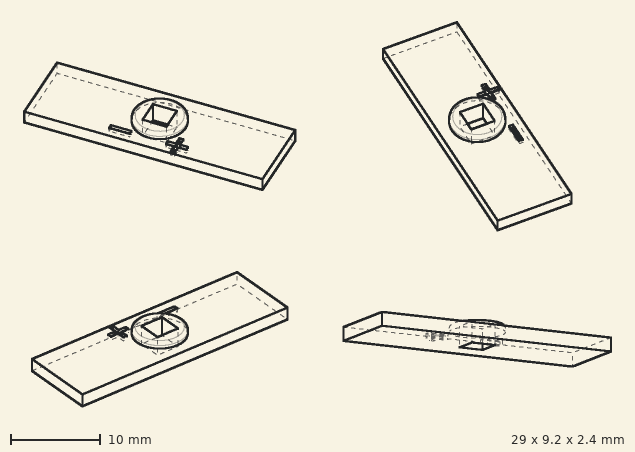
import cadquery as cq

plate_length = 29.0
plate_width = 9.2
plate_thickness = 1.6

total_height = 2.4
boss_diameter = 6.3
boss_rim_radius = 0.4
square_hole_side = 2.9

mark_length = 2.5
mark_stroke = 0.5
mark_depth = 0.5
mark_offset_x = 3.45
mark_offset_y = -3.1


def make_plate():
    """Flat plate centred on the origin, resting on Z = 0."""
    return cq.Workplane("XY").box(plate_length, plate_width, plate_thickness, centered=(True, True, False))


def make_boss():
    """Disc on top of the plate with its upper edge rounded."""
    return (
        cq.Workplane("XY", origin=(0, 0, plate_thickness))
        .circle(boss_diameter / 2)
        .extrude(total_height - plate_thickness)
        .faces(">Z")
        .edges()
        .fillet(boss_rim_radius)
    )


def mark_bar(center_x, size_x, size_y):
    """Rectangular cutter for one stroke of a polarity mark."""
    return (
        cq.Workplane("XY", origin=(center_x, mark_offset_y, plate_thickness))
        .rect(size_x, size_y)
        .extrude(-mark_depth)
    )


square_hole = cq.Workplane("XY").rect(square_hole_side, square_hole_side).extrude(total_height)

result = make_plate().union(make_boss()).cut(square_hole)

result = result.cut(mark_bar(-mark_offset_x, mark_length, mark_stroke))
result = result.cut(mark_bar(mark_offset_x, mark_length, mark_stroke))
result = result.cut(mark_bar(mark_offset_x, mark_stroke, mark_length))